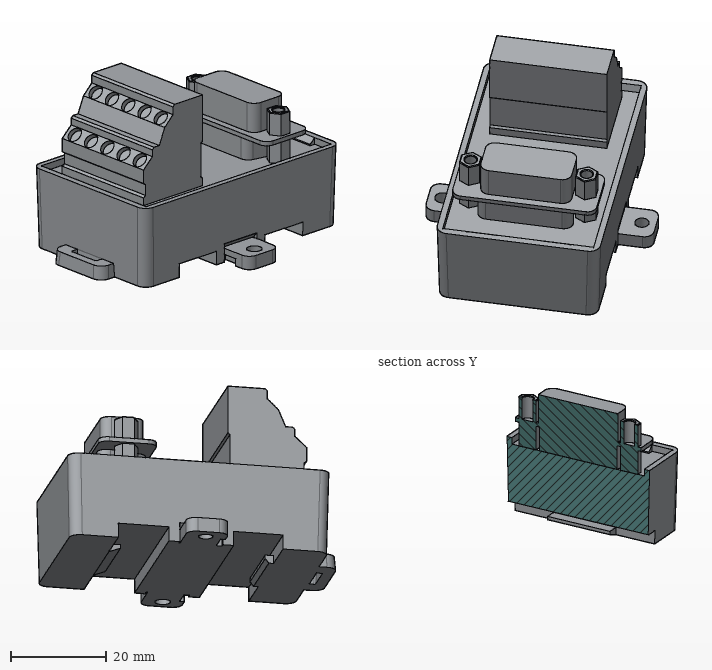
import cadquery as cq
import math

overcut = 0.6

housing_width = 34.8
housing_length = 55.95
housing_height = 18.0
housing_corner_radius = 2.3
wall_inset = 0.4
wall_draft = math.degrees(math.atan(wall_inset / housing_height))

side_rim = 1.3
end_rim = 1.5
panel_depth = 1.5
panel_z = housing_height - panel_depth
panel_width = housing_width - 2 * side_rim
panel_length = housing_length - 2 * end_rim
end_bevel = 0.6
barb_width = 6.1
barb_spacing = 15.95
barb_reach = 1.3
barb_lip = 0.3

channel_height = 3.1
rear_channel = (6.65, 17.5)
front_channel = (-17.8, -7.2)
hook_top = 1.7
hook_nose_bottom = 0.95
rear_hook_reach = 2.5
front_hook_reach = 1.8
front_hook_flat = 1.0

ear_span = 48.6
ear_width = 8.8
ear_height = 3.05
ear_y = -0.3
ear_corner_radius = 2.1
ear_hole_x = 21.25
left_hole_diameter = 3.0
right_hole_diameter = 3.3
ear_relief_x = 20.2
ear_relief_height = 1.65
ear_relief_depth = 1.0
ear_pocket_width = 9.3
ear_pocket_top = 4.15
ear_pocket_depth = 0.9

latch_width = 15.2
latch_height = 3.05
latch_end_y = -31.55
latch_corner_radius = 2.25
latch_inset = 0.25
latch_draft = math.degrees(math.atan(latch_inset / latch_height))
latch_slot_width = 7.6
latch_slot_end_y = -29.4
latch_slot_radius = 0.35

connector_y = 14.8
flange_width = 30.7
flange_depth = 12.4
flange_corner_radius = 1.95
flange_bottom = 21.8
flange_top = 22.75
shell_width = 19.4
shell_depth = 9.1
shell_corner_radius = 2.0
shell_top = 29.3
base_front_width = 16.65
base_rear_width = 21.3
base_depth = 10.65
base_corner_radius = 2.0
jackscrew_spacing = 24.75
jackscrew_flats = 4.35
jackscrew_top = 27.8
jackscrew_chamfer = 0.2
jackscrew_bore = 2.5
jackscrew_bore_depth = jackscrew_top - flange_top

block_width = 25.0
block_back_y = -6.95
block_front_y = -23.85
block_top = 36.9
back_groove = 0.4
front_groove = 0.6
front_groove_top = 21.05
back_groove_top = 26.1
groove_bottom = 18.6
groove_bevel = 0.4
nose_chamfer = 0.5
upper_slope = ((-15.4, 34.7), (-17.8, 32.45))
lower_slope = ((-21.3, 26.85), (block_front_y, 24.45))
ledge_z = 28.8
ledge_back_y = -19.35
screw_count = 5
screw_pitch = 5.0
screw_diameter = 3.2
screw_depth = 1.1


def rounded_block(width, depth, bottom, top, radius, y):
    """Upright block with rounded vertical edges, centred on X = 0."""
    return (
        cq.Workplane("XY", origin=(0, y, bottom))
        .rect(width, depth)
        .extrude(top - bottom)
        .edges("|Z")
        .fillet(radius)
    )


def box_between(x_range, y_range, z_range):
    """Box given by its limits along the three axes."""
    size = [high - low for low, high in (x_range, y_range, z_range)]
    corner = (x_range[0], y_range[0], z_range[0])
    return cq.Workplane("XY", origin=corner).box(*size, centered=False)


def profile_along_x(points, width, x=0):
    """Prism of a (y, z) outline, centred on the given x."""
    return cq.Workplane("YZ", origin=(x, 0, 0)).polyline(points).close().extrude(width / 2, both=True)


def housing_shell():
    """Drafted block, widest at the rim, with the panel recess in its top."""
    shell = (
        cq.Workplane("XY", origin=(0, 0, housing_height))
        .rect(housing_width, housing_length)
        .extrude(-housing_height, taper=wall_draft)
        .edges("not #Z")
        .fillet(housing_corner_radius)
    )
    recess = (
        cq.Workplane("XY", origin=(0, 0, panel_z))
        .rect(panel_width, panel_length)
        .extrude(panel_depth + overcut)
    )
    return shell.cut(recess)


def panel_end_details():
    """Bevel along the front end of the recess and two ramped barbs at the rear end."""
    front = -panel_length / 2
    rear = panel_length / 2
    bevel = profile_along_x(
        [(front, panel_z), (front + end_bevel, panel_z), (front, housing_height)], panel_width
    )
    barb_profile = [
        (rear, panel_z),
        (rear, housing_height),
        (rear - barb_reach, panel_z + barb_lip),
        (rear - barb_reach, panel_z),
    ]
    details = [bevel]
    for side in (-1, 1):
        details.append(profile_along_x(barb_profile, barb_width, side * barb_spacing / 2))
    return details


def rail_channels():
    """Two channels across the underside."""
    reach = housing_width / 2
    channels = []
    for y_range in (rear_channel, front_channel):
        channels.append(box_between((-reach, reach), y_range, (-overcut, channel_height)))
    return channels


def rail_hooks():
    """Hooks that reach into the channels from their outer walls."""
    rear_wall = rear_channel[1]
    rear_hook = profile_along_x(
        [
            (rear_wall, 0),
            (rear_wall, hook_top),
            (rear_wall - rear_hook_reach, hook_top),
            (rear_wall - rear_hook_reach, hook_nose_bottom),
        ],
        latch_width,
    )
    front_wall = front_channel[0]
    front_hook = profile_along_x(
        [
            (front_wall, 0),
            (front_wall, hook_top),
            (front_wall + front_hook_reach, hook_top),
            (front_wall + front_hook_reach, hook_nose_bottom),
            (front_wall + front_hook_flat, 0),
        ],
        latch_width,
    )
    return [rear_hook, front_hook]


def ear_pockets():
    """Clearance in the side walls above the ears, with a ceiling that falls inwards."""
    wall_x = housing_width / 2
    inner_x = wall_x - wall_inset - ear_pocket_depth
    pockets = []
    for side in (-1, 1):
        pocket = (
            cq.Workplane("XZ", origin=(0, ear_y, 0))
            .polyline(
                [
                    (side * wall_x, 0),
                    (side * wall_x, ear_pocket_top),
                    (side * (wall_x - wall_inset), ear_pocket_top),
                    (side * inner_x, ear_height),
                    (side * inner_x, 0),
                ]
            )
            .close()
            .extrude(ear_pocket_width / 2, both=True)
        )
        pockets.append(pocket)
    return pockets


def ears():
    """Bar with rounded ends that forms both ears, with screw holes and edge reliefs."""
    bar = rounded_block(ear_span, ear_width, 0, ear_height, ear_corner_radius, ear_y)
    front_edge = ear_y - ear_width / 2
    relief_range = (front_edge - overcut, front_edge + ear_relief_depth)
    relief = box_between((-ear_relief_x, ear_relief_x), relief_range, (-overcut, ear_relief_height))
    bar = bar.cut(relief)
    for x, diameter in ((-ear_hole_x, left_hole_diameter), (ear_hole_x, right_hole_diameter)):
        hole = cq.Workplane("XY", origin=(x, ear_y, 0)).circle(diameter / 2).extrude(ear_height)
        bar = bar.cut(hole)
    return bar


def latch_tab():
    """Drafted pull tab with a finger slot that starts at the housing wall."""
    root_y = front_channel[0]
    tab = (
        cq.Workplane("XY", origin=(0, (root_y + latch_end_y) / 2, 0))
        .rect(latch_width, root_y - latch_end_y)
        .extrude(latch_height, taper=latch_draft)
        .edges("not #Z")
        .edges("<Y")
        .fillet(latch_corner_radius)
    )
    wall_y = wall_inset * (1 - latch_height / housing_height) - housing_length / 2
    slot = (
        cq.Workplane("XY", origin=(0, (wall_y + latch_slot_end_y) / 2, latch_height))
        .rect(latch_slot_width, wall_y - latch_slot_end_y)
        .extrude(-latch_height, taper=latch_draft)
        .edges("not #Z")
        .edges("<Y")
        .fillet(latch_slot_radius)
    )
    return tab.cut(slot)


def make_housing():
    shell = housing_shell()
    for cutter in rail_channels() + ear_pockets():
        shell = shell.cut(cutter)
    for added in panel_end_details() + rail_hooks() + [ears(), latch_tab()]:
        shell = shell.union(added)
    return shell


def jackscrew(x):
    """Hexagonal standoff with a corner pointing along Y and a blind bore."""
    corner_diameter = jackscrew_flats / math.cos(math.pi / 6)
    post = (
        cq.Workplane("XY", origin=(x, connector_y, panel_z))
        .transformed(rotate=(0, 0, 90))
        .polygon(6, corner_diameter)
        .extrude(jackscrew_top - panel_z)
        .faces(">Z")
        .chamfer(jackscrew_chamfer)
    )
    bore = (
        cq.Workplane("XY", origin=(x, connector_y, jackscrew_top))
        .circle(jackscrew_bore / 2)
        .extrude(-jackscrew_bore_depth)
    )
    return post.cut(bore).faces(">Z").edges("%CIRCLE").chamfer(jackscrew_chamfer)


def connector_base():
    """Trapezoidal body under the flange, narrower towards the front."""
    return (
        cq.Workplane("XY", origin=(0, connector_y, panel_z))
        .polyline(
            [
                (-base_front_width / 2, -base_depth / 2),
                (base_front_width / 2, -base_depth / 2),
                (base_rear_width / 2, base_depth / 2),
                (-base_rear_width / 2, base_depth / 2),
            ]
        )
        .close()
        .extrude(flange_bottom - panel_z)
        .edges("|Z")
        .fillet(base_corner_radius)
    )


def make_connector():
    flange = rounded_block(
        flange_width, flange_depth, flange_bottom, flange_top, flange_corner_radius, connector_y
    )
    shell = rounded_block(
        shell_width, shell_depth, flange_top, shell_top, shell_corner_radius, connector_y
    )
    body = connector_base().union(flange).union(shell)
    for side in (-1, 1):
        x = side * jackscrew_spacing / 2
        body = body.union(jackscrew(x))
    return body


def block_body():
    """Stepped two-tier profile with a groove along the back and the front."""
    upper_nose_y = upper_slope[0][0]
    lower_nose_y = lower_slope[0][0]
    return profile_along_x(
        [
            (block_back_y, block_top),
            (upper_nose_y + nose_chamfer, block_top),
            (upper_nose_y, block_top - nose_chamfer),
            *upper_slope,
            (ledge_back_y, ledge_z),
            (lower_nose_y + nose_chamfer, ledge_z),
            (lower_nose_y, ledge_z - nose_chamfer),
            *lower_slope,
            (block_front_y, front_groove_top + groove_bevel),
            (block_front_y + front_groove, front_groove_top),
            (block_front_y + front_groove, groove_bottom),
            (block_front_y, groove_bottom - groove_bevel),
            (block_front_y, panel_z),
            (block_back_y, panel_z),
            (block_back_y, groove_bottom - groove_bevel),
            (block_back_y - back_groove, groove_bottom),
            (block_back_y - back_groove, back_groove_top),
            (block_back_y, back_groove_top + groove_bevel),
        ],
        block_width,
    )


def screw_recesses(slope):
    """Row of shallow round recesses, square to one screw face."""
    (y_high, z_high), (y_low, z_low) = slope
    middle = (0, (y_high + y_low) / 2, (z_high + z_low) / 2)
    outward = (0, z_low - z_high, y_high - y_low)
    face = cq.Plane(origin=middle, xDir=(1, 0, 0), normal=outward)
    return (
        cq.Workplane(face)
        .rarray(screw_pitch, 0.6, screw_count, 1)
        .circle(screw_diameter / 2)
        .extrude(-screw_depth)
    )


def make_terminal_block():
    block = block_body()
    for slope in (upper_slope, lower_slope):
        block = block.cut(screw_recesses(slope))
    return block


housing = make_housing()
connector = make_connector()
terminal_block = make_terminal_block()

bodies = [part.solids().val() for part in (housing, connector, terminal_block)]
result = cq.Compound.makeCompound(bodies)